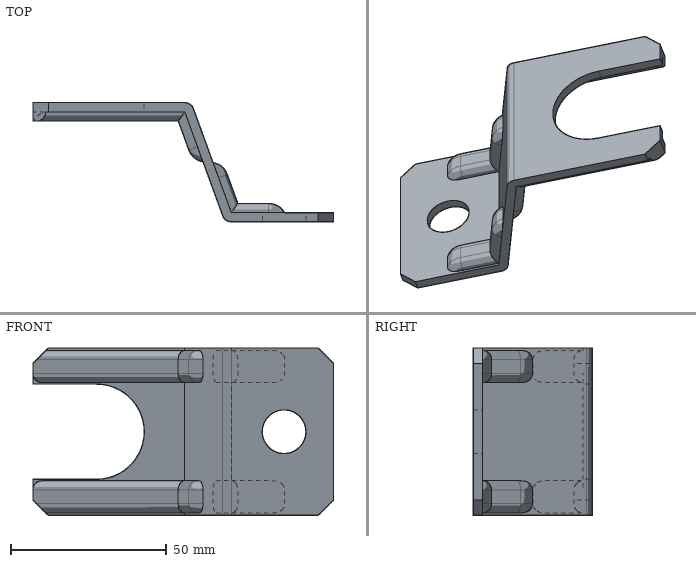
import cadquery as cq
import math

total_length = 97.0
total_depth = 38.5
width = 54.0
thickness = 3.0
web_angle = math.radians(20.0)
lower_flange = 33.0

corner_chamfer = 5.0
slot_radius = 15.3
slot_center_x = 20.6
hole_diameter = 14.0
hole_center_x = 81.0

bead_width = 10.4
bead_height = 3.0
bead_root = 0.5
bead_corner_radius = 3.0
bead_edge_distance = 6.0
bead_leg = 12.0

lower_bend_x = total_length - lower_flange
lower_bend_y = thickness - total_depth
web_drop = -thickness - lower_bend_y
web_run = (thickness + web_drop * math.sin(web_angle)) / math.cos(web_angle)
upper_bend_x = lower_bend_x - web_run
upper_bend_y = -thickness
bead_offset_z = width / 2 - bead_edge_distance


def along_normal(x, y, distance, angle):
    """Point at a distance from (x, y) along the normal of a sheet wall slanted by angle."""
    return (x + distance * math.cos(angle), y + distance * math.sin(angle))


def bent_sheet():
    """Z-shaped strip: each bend is sharp inside and rounded by the thickness outside."""
    middle_turn = (web_angle + math.pi / 2) / 2
    opposite = web_angle + math.pi
    opposite_middle = middle_turn + math.pi
    outline = (
        cq.Workplane("XY", origin=(0, 0, -width / 2))
        .moveTo(0, 0)
        .lineTo(upper_bend_x, 0)
        .threePointArc(
            along_normal(upper_bend_x, upper_bend_y, thickness, middle_turn),
            along_normal(upper_bend_x, upper_bend_y, thickness, web_angle),
        )
        .lineTo(lower_bend_x, lower_bend_y)
        .lineTo(total_length, lower_bend_y)
        .lineTo(total_length, -total_depth)
        .lineTo(lower_bend_x, -total_depth)
        .threePointArc(
            along_normal(lower_bend_x, lower_bend_y, thickness, opposite_middle),
            along_normal(lower_bend_x, lower_bend_y, thickness, opposite),
        )
        .lineTo(upper_bend_x, upper_bend_y)
        .lineTo(0, upper_bend_y)
        .close()
    )
    return outline.extrude(width)


def bead_section(plane, root_depth):
    """Bead cross-section: rounded above the sheet face and rooted below it by root_depth."""
    half = bead_width / 2
    flat_half = half - bead_height
    bulge = bead_height * math.sqrt(0.5)
    return (
        cq.Workplane(plane)
        .moveTo(-half, -root_depth)
        .lineTo(-half, 0)
        .threePointArc((-flat_half - bulge, bulge), (-flat_half, bead_height))
        .lineTo(flat_half, bead_height)
        .threePointArc((flat_half + bulge, bulge), (half, 0))
        .lineTo(half, -root_depth)
        .close()
    )


def bead_end(plane):
    """Rounded bead end: the section turned a quarter about the rear face of the sheet."""
    return bead_section(plane, thickness).revolve(90, (0, -thickness), (1, -thickness))


def bend_bead(flange_leg):
    """Bead along a flange and down the web, with the inner bend line at the origin."""
    web_direction = (math.sin(web_angle), -math.cos(web_angle))
    web_end = (bead_leg * web_direction[0], bead_leg * web_direction[1])
    path = cq.Workplane("XY").polyline([(-flange_leg, 0), (0, 0), web_end])
    start_plane = cq.Plane(origin=(-flange_leg, 0, 0), xDir=(0, 0, 1), normal=(1, 0, 0))
    end_plane = cq.Plane(
        origin=(*web_end, 0), xDir=(0, 0, 1), normal=(*web_direction, 0)
    )
    legs = bead_section(start_plane, bead_root).sweep(path, transition="right")
    return legs.union(bead_end(end_plane))


def upper_bead():
    """Bead running to the free end of the upper flange, its corners rounded across the face."""
    bead = bend_bead(upper_bend_x).translate((upper_bend_x, upper_bend_y, 0))
    corner_rounding = (
        cq.Workplane("XY")
        .box(total_length, 2 * total_depth, bead_width, centered=(False, True, True))
        .edges("|Y and <X")
        .fillet(bead_corner_radius)
    )
    return bead.intersect(corner_rounding)


def lower_bead():
    """Short bead on the rear of the lower bend, rounded at both ends."""
    flange_end = cq.Plane(origin=(-bead_leg, 0, 0), xDir=(0, 0, -1), normal=(-1, 0, 0))
    bead = bend_bead(bead_leg).union(bead_end(flange_end))
    return bead.rotate((0, 0, 0), (0, 0, 1), 180).translate((lower_bend_x, lower_bend_y, 0))


def slot_and_hole():
    """Open-ended slot in the upper flange and round hole in the lower one."""
    face = cq.Workplane("XZ")
    slot = (
        face.moveTo(0, -slot_radius)
        .lineTo(slot_center_x, -slot_radius)
        .threePointArc((slot_center_x + slot_radius, 0), (slot_center_x, slot_radius))
        .lineTo(0, slot_radius)
        .close()
        .extrude(total_depth)
    )
    hole = face.center(hole_center_x, 0).circle(hole_diameter / 2).extrude(total_depth)
    return slot.union(hole)


def chamfered_envelope():
    """Block around the whole part with its four corners chamfered."""
    return (
        cq.Workplane("XY")
        .box(total_length, total_depth, width, centered=(False, False, True))
        .translate((0, -total_depth, 0))
        .edges("|Y")
        .chamfer(corner_chamfer)
    )


result = bent_sheet()
for bead_z in (-bead_offset_z, bead_offset_z):
    result = result.union(upper_bead().translate((0, 0, bead_z)))
    result = result.union(lower_bead().translate((0, 0, bead_z)))
result = result.cut(slot_and_hole()).intersect(chamfered_envelope())